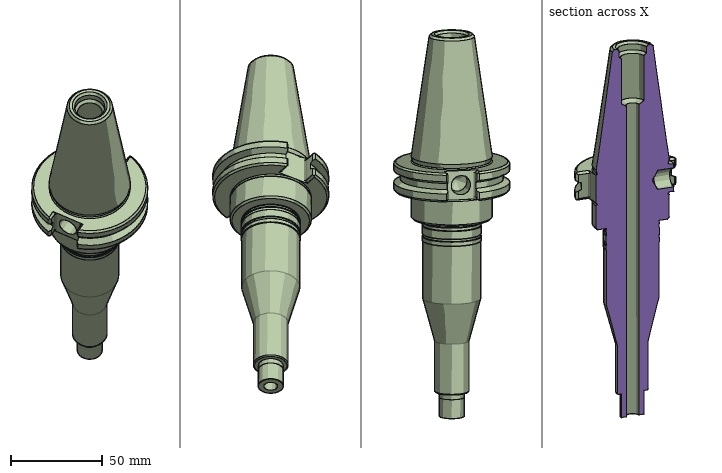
import cadquery as cq
import math

total_length = 214.0
gauge_z = 145.8
flange_top_z = 142.8
flange_bottom_z = 126.5
collar_top_z = 125.0
collar_bottom_z = 110.9
cone_top_z = 66.1
cone_bottom_z = 42.4
neck_bottom_z = 13.7
nose_relief_z = 10.7

taper_ratio = 7 / 24

taper_large_dia = 44.5
relief_dia = 43.2
flange_dia = 63.5
flange_groove_dia = 56.5
collar_dia = 44.5
shank_dia = 32.0
ring_dia = 32.5
neck_dia = 19.0
nose_relief_dia = 13.7
nose_dia = 14.0

taper_end_chamfer = 1.3
flange_chamfer = 1.0
collar_chamfer = 1.0
neck_chamfer = 0.6
nose_chamfer = 0.2
ring_chamfer = 0.32
relief_flare = 0.6

groove_centre_z = 134.6
groove_mouth_width = 6.8
groove_floor_width = 3.5

rings = [(98.5, 101.2), (102.3, 107.2), (108.7, 110.5)]

slot_width = 16.0
slot_chamfer = 1.3
slot_corner_radius = 0.6
front_slot_floor = 24.8
back_slot_floor = 22.3
side_hole_dia = 10.7
side_hole_straight_depth = 9.6

bore_mouth_dia = 19.0
counterbore_dia = 16.5
counterbore_depth = 4.7
thread_bore_dia = 13.5
thread_bore_depth = 32.1
through_dia = 7.5

drill_half_angle = math.radians(59)


def revolve_profile(points):
    """Solid of revolution about Z from (radius, z) points that start and end on the axis."""
    return cq.Workplane("XZ").polyline(points).close().revolve(360, (0, 0), (0, 1))


def cylinder(diameter, bottom, top):
    return cq.Workplane("XY").workplane(offset=bottom).circle(diameter / 2).extrude(top - bottom)


def drill_point_length(dia_change):
    """Length of the drill point over which the hole narrows by dia_change."""
    return dia_change / 2 / math.tan(drill_half_angle)


def make_outside():
    taper_end_z = total_length - taper_end_chamfer
    taper_small_dia = taper_large_dia - taper_ratio * (taper_end_z - gauge_z)
    shank_profile = [
        (0, 0),
        (nose_dia / 2 - nose_chamfer, 0),
        (nose_dia / 2, nose_chamfer),
        (nose_dia / 2, nose_relief_z),
        (nose_relief_dia / 2, nose_relief_z),
        (nose_relief_dia / 2, neck_bottom_z),
        (neck_dia / 2 - neck_chamfer, neck_bottom_z),
        (neck_dia / 2, neck_bottom_z + neck_chamfer),
        (neck_dia / 2, cone_bottom_z),
        (shank_dia / 2, cone_top_z),
        (shank_dia / 2, collar_bottom_z),
        (collar_dia / 2 - collar_chamfer, collar_bottom_z),
        (collar_dia / 2, collar_bottom_z + collar_chamfer),
        (collar_dia / 2, collar_top_z),
        (relief_dia / 2, (collar_top_z + flange_bottom_z) / 2),
        (collar_dia / 2, flange_bottom_z),
        (relief_dia / 2 + relief_flare, flange_top_z),
        (relief_dia / 2, flange_top_z + relief_flare),
        (taper_large_dia / 2, gauge_z),
        (taper_small_dia / 2, taper_end_z),
        (taper_small_dia / 2 - taper_end_chamfer, total_length),
        (0, total_length),
    ]
    body = revolve_profile(shank_profile)
    for bottom, top in rings:
        body = body.union(cylinder(ring_dia, bottom, top).edges().chamfer(ring_chamfer))
    return body


def make_flange():
    rim = flange_dia / 2
    floor = flange_groove_dia / 2
    profile = [
        (0, flange_bottom_z),
        (rim - flange_chamfer, flange_bottom_z),
        (rim, flange_bottom_z + flange_chamfer),
        (rim, groove_centre_z - groove_mouth_width / 2),
        (floor, groove_centre_z - groove_floor_width / 2),
        (floor, groove_centre_z + groove_floor_width / 2),
        (rim, groove_centre_z + groove_mouth_width / 2),
        (rim, flange_top_z - flange_chamfer),
        (rim - flange_chamfer, flange_top_z),
        (0, flange_top_z),
    ]
    return cut_slots(revolve_profile(profile))


def slot_cutter(floor):
    """Slot on the +Y side, open outwards, with its side walls chamfered at every rim."""
    wall = slot_width / 2
    flare = wall + slot_chamfer
    rim = flange_dia / 2

    corner_y = math.sqrt(rim**2 - flare**2)
    slot_height = flange_top_z - flange_bottom_z
    base = cq.Workplane("XY").workplane(offset=flange_bottom_z)
    channel = [(-wall, floor), (wall, floor), (wall, rim), (-wall, rim)]
    rim_flare = [(-wall, corner_y - slot_chamfer), (wall, corner_y - slot_chamfer),
                 (flare, corner_y), (flare, rim), (-flare, rim), (-flare, corner_y)]
    cutter = base.polyline(channel).close().extrude(slot_height)
    cutter = cutter.edges("|Z and <Y").fillet(slot_corner_radius)
    cutter = cutter.union(base.polyline(rim_flare).close().extrude(slot_height))
    for face_z, inner_z in (
        (flange_top_z, flange_top_z - slot_chamfer),
        (flange_bottom_z, flange_bottom_z + slot_chamfer),
    ):
        bevel = (
            cq.Workplane("XZ", origin=(0, rim, 0))
            .polyline([(-flare, face_z), (flare, face_z), (wall, inner_z), (-wall, inner_z)])
            .close()
            .extrude(rim - floor)
        )
        cutter = cutter.union(bevel)
    return cutter


def cut_slots(flange):
    front_slot = slot_cutter(front_slot_floor).rotate((0, 0, 0), (0, 0, 1), 180)
    return flange.cut(front_slot).cut(slot_cutter(back_slot_floor))


def make_side_hole():
    """Blind drilled hole in the floor of the front slot."""
    radius = side_hole_dia / 2
    floor_y = -front_slot_floor
    straight_end_y = floor_y + side_hole_straight_depth
    point_y = straight_end_y + drill_point_length(side_hole_dia)
    profile = [(0, floor_y), (radius, floor_y), (radius, straight_end_y), (0, point_y)]
    hole = cq.Workplane("XY").polyline(profile).close().revolve(360, (0, 0), (0, 1))
    return hole.translate((0, 0, (flange_top_z + flange_bottom_z) / 2))


def make_bore():
    mouth_chamfer = (bore_mouth_dia - counterbore_dia) / 2
    step = (counterbore_dia - thread_bore_dia) / 2
    drill_point = drill_point_length(thread_bore_dia - through_dia)
    profile = [
        (0, 0),
        (through_dia / 2, 0),
        (through_dia / 2, total_length - thread_bore_depth - drill_point),
        (thread_bore_dia / 2, total_length - thread_bore_depth),
        (thread_bore_dia / 2, total_length - counterbore_depth - step),
        (counterbore_dia / 2, total_length - counterbore_depth),
        (counterbore_dia / 2, total_length - mouth_chamfer),
        (bore_mouth_dia / 2, total_length),
        (0, total_length),
    ]
    return revolve_profile(profile)


result = make_outside().union(make_flange()).cut(make_side_hole()).cut(make_bore())